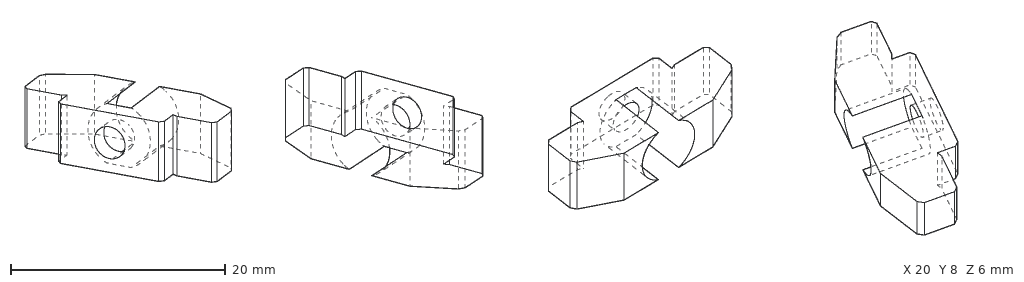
import cadquery as cq

length = 20.0
depth = 8.0
height = 6.0

tongue_width = 11.0
tongue_chamfer = 0.4
wing_front = 2.0
relief_width = 0.5
relief_depth = 0.22

wing_chamfer = 0.4
back_width = 11.0
taper_end = 6.05
back_corner_width = 0.38
back_corner_depth = 0.58

hole_diameter = 3.2
bore_diameter = 6.5
bore_bottom = 2.0


def make_body():
    """Extrude the symmetric plan outline of the part."""
    half_length = length / 2
    half_tongue = tongue_width / 2
    right_side = [
        (half_tongue - tongue_chamfer, 0),
        (half_tongue, tongue_chamfer),
        (half_tongue, wing_front + relief_depth),
        (half_tongue + relief_width, wing_front),
        (half_length - wing_chamfer, wing_front),
        (half_length, wing_front + wing_chamfer),
        (half_length, taper_end - back_corner_depth),
        (half_length - back_corner_width, taper_end),
        (back_width / 2, depth),
    ]
    left_side = [(-x, y) for x, y in reversed(right_side)]
    outline = cq.Workplane("XY").polyline(right_side + left_side).close()
    return outline.extrude(height / 2, both=True)


def make_hole(diameter, start, end):
    """Round cutter along the Y axis from start to end."""
    plane = cq.Workplane("XZ", origin=(0, start, 0))
    return plane.circle(diameter / 2).extrude(start - end)


screw_hole = make_hole(hole_diameter, 0, depth)
head_bore = make_hole(bore_diameter, bore_bottom, depth)
result = make_body().cut(screw_hole).cut(head_bore)